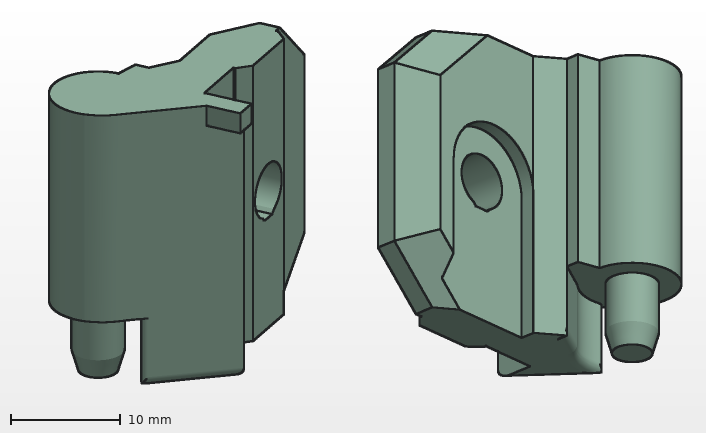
import cadquery as cq
import math

height = 28.0
barrel_bottom = 7.0
barrel_radius = 4.5

pin_radius = 4.9 / 2
pin_tip_radius = 1.85
pin_tip_height = 2.05

plate_front_x = 3.57
plate_back_x = 8.58
plate_end_y = 24.5
plate_bevel = 2.95
plate_corner = 5.0
slope_end_y = 9.35

shoulder_y = 6.8
shoulder_left_x = 0.35
shoulder_right_x = 1.7
barrel_joint_x = -0.2

web_back_y = 4.47
web_tip_x = 12.65
web_start = (3.77, -2.9)
barrel_end_x = 0.9
tongue_start_x = plate_back_x
tongue_end_x = 13.4
tongue_thickness = 2.23
tongue_height = 2.03

hole_y = 14.53
hole_z = height / 2
hole_radius = 2.67
hole_flat_depth = 2.78
hole_flat_half_width = 0.75
hole_flat_flare = 0.75
pocket_radius = 5.25
pocket_depth = 1.48
rib_x = 9.98
rib_half_width = 4.25
rib_chamfer = 1.2

relief_radius = 5.0
relief_arc_start_y = 3.34
relief_corner_radius = 0.5
bottom_fillet = 1.0


def on_circle(radius, coordinate):
    """Return the other coordinate of a point on a circle about the origin."""
    return math.sqrt(radius**2 - coordinate**2)


def make_body():
    """Barrel, shoulder, plate and diagonal web as one full-height prism."""
    barrel_end = (barrel_end_x, -on_circle(barrel_radius, barrel_end_x))
    return (
        cq.Workplane("XY")
        .moveTo(barrel_joint_x, on_circle(barrel_radius, barrel_joint_x))
        .threePointArc((-barrel_radius, 0), (0, -barrel_radius))
        .threePointArc(
            (barrel_end_x / 2, -on_circle(barrel_radius, barrel_end_x / 2)), barrel_end
        )
        .tangentArcPoint(web_start, relative=False)
        .lineTo(web_tip_x, web_back_y)
        .lineTo(plate_back_x, web_back_y)
        .lineTo(plate_back_x, plate_end_y)
        .lineTo(plate_front_x + plate_bevel, plate_end_y)
        .lineTo(plate_front_x, plate_end_y - plate_bevel)
        .lineTo(plate_front_x, slope_end_y)
        .lineTo(shoulder_right_x, shoulder_y)
        .lineTo(shoulder_left_x, shoulder_y)
        .close()
        .extrude(height)
    )


def corner_cutter():
    """Wedge that cuts the upper plate corner at 45 degrees and carries the bevel round it."""
    setback = plate_bevel * math.sqrt(2)

    def section(x, leg):
        return [
            cq.Vector(x, plate_end_y - leg, height),
            cq.Vector(x, plate_end_y, height - leg),
            cq.Vector(x, plate_end_y, height),
        ]

    def prism(x_start, leg_start, x_end, leg_end):
        wires = [
            cq.Wire.makePolygon(section(x, leg), close=True)
            for x, leg in ((x_start, leg_start), (x_end, leg_end))
        ]
        return cq.Workplane(cq.Solid.makeLoft(wires, True))

    bevel_back_x = plate_front_x + plate_bevel
    bevelled = prism(plate_front_x, plate_corner + setback, bevel_back_x, plate_corner)
    straight = prism(bevel_back_x, plate_corner, plate_back_x, plate_corner)
    return bevelled.union(straight)


def make_relief():
    """Space below the barrel, bounded by a flat wall and an arc around the pin."""
    arc_start = (on_circle(relief_radius, relief_arc_start_y), relief_arc_start_y)
    outside = -2 * barrel_radius
    return (
        cq.Workplane("XY")
        .moveTo(shoulder_right_x, shoulder_y)
        .lineTo(*arc_start)
        .threePointArc((relief_radius, 0), (0, -relief_radius))
        .lineTo(outside, -relief_radius)
        .lineTo(outside, shoulder_y)
        .close()
        .extrude(barrel_bottom)
    )


def make_wall_round():
    """Flared foot of the relief that leaves a rounded lower edge on its wall."""
    size = 4 * relief_radius
    slab = cq.Workplane("XY").box(size, size, barrel_bottom, centered=(True, True, False))
    block = slab.cut(make_relief())
    arc_edge = cq.selectors.NearestToPointSelector((relief_radius, 0, 0))
    wall_middle = (
        (shoulder_right_x + on_circle(relief_radius, relief_arc_start_y)) / 2,
        (shoulder_y + relief_arc_start_y) / 2,
        0,
    )
    wall_edge = cq.selectors.NearestToPointSelector(wall_middle)
    underside = block.faces("<Z")
    rounded = underside.edges(arc_edge).add(underside.edges(wall_edge)).fillet(bottom_fillet)
    return block.cut(rounded)


def round_under_web(body):
    """Round the lower edge of the diagonal web."""
    web_middle = ((web_start[0] + web_tip_x) / 2, (web_start[1] + web_back_y) / 2, 0)
    web_edge = cq.selectors.NearestToPointSelector(web_middle)
    return body.faces("<Z").edges(web_edge).fillet(bottom_fillet)


def make_pin():
    """Round pin with a tapered tip."""
    return (
        cq.Workplane("XZ")
        .polyline([
            (0, 0),
            (pin_tip_radius, 0),
            (pin_radius, pin_tip_height),
            (pin_radius, barrel_bottom),
            (0, barrel_bottom),
        ])
        .close()
        .revolve(360, (0, 0, 0), (0, 1, 0))
    )


def make_tongue():
    """Flat tongue flush with the top."""
    length = tongue_end_x - tongue_start_x
    return cq.Workplane("XY").box(length, tongue_thickness, tongue_height, centered=False).translate(
        (tongue_start_x, web_back_y - tongue_thickness, height - tongue_height)
    )


def make_rib():
    """Full-height rib with chamfered sides on the back of the plate."""
    chamfer_x = rib_x - rib_chamfer
    flat_half_width = rib_half_width - rib_chamfer
    return (
        cq.Workplane("XY")
        .polyline([
            (plate_back_x, hole_y - rib_half_width),
            (chamfer_x, hole_y - rib_half_width),
            (rib_x, hole_y - flat_half_width),
            (rib_x, hole_y + flat_half_width),
            (chamfer_x, hole_y + rib_half_width),
            (plate_back_x, hole_y + rib_half_width),
        ])
        .close()
        .extrude(height)
    )


def make_pocket():
    """Round-topped pocket that runs out through the underside."""
    return (
        cq.Workplane("YZ", origin=(plate_front_x, hole_y, 0))
        .moveTo(-pocket_radius, 0)
        .lineTo(-pocket_radius, hole_z)
        .threePointArc((0, hole_z + pocket_radius), (pocket_radius, hole_z))
        .lineTo(pocket_radius, 0)
        .close()
        .extrude(pocket_depth)
    )


def make_hole():
    """Through hole with a flat-ended flare at its lower side."""
    plane = cq.Workplane("YZ", origin=(plate_front_x, hole_y, hole_z))
    length = rib_x - plate_front_x
    flare_half_width = hole_flat_half_width + hole_flat_flare
    flare_z = hole_flat_flare - hole_flat_depth
    flare = plane.polyline([
        (-flare_half_width, flare_z),
        (-hole_flat_half_width, -hole_flat_depth),
        (hole_flat_half_width, -hole_flat_depth),
        (flare_half_width, flare_z),
    ]).close().extrude(length)
    return plane.circle(hole_radius).extrude(length).union(flare)


full_body = make_body()
relief_corner = cq.selectors.BoxSelector(
    (web_start[0], -relief_radius, 0), (relief_radius, 0, barrel_bottom)
)
body = full_body.cut(make_relief()).edges("|Z").edges(relief_corner).fillet(relief_corner_radius)

body = body.intersect(round_under_web(full_body)).cut(make_wall_round())

upper_corner = corner_cutter()
lower_corner = upper_corner.mirror("XY", (0, 0, height / 2))
body = body.cut(upper_corner).cut(lower_corner)
body = body.union(make_rib()).union(make_tongue()).union(make_pin())
result = body.cut(make_pocket()).cut(make_hole())